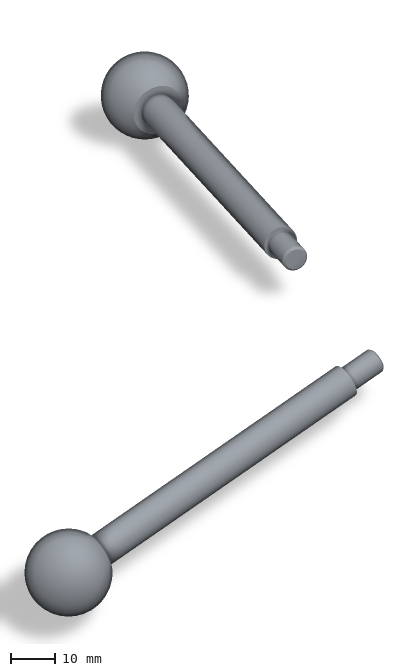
import cadquery as cq
import math

overall_length = 100.0
ball_diameter = 20.0
ball_length = 18.0
rod_diameter = 8.0
pin_diameter = 6.0
pin_length = 9.0
pin_chamfer = 0.5
shoulder_fillet = 0.3

ball_radius = ball_diameter / 2
rod_radius = rod_diameter / 2
pin_radius = pin_diameter / 2

ball_tip_x = -ball_radius
ball_flat_x = ball_tip_x + ball_length
ball_flat_radius = math.sqrt(ball_radius**2 - ball_flat_x**2)
pin_end_x = ball_tip_x + overall_length
shoulder_x = pin_end_x - pin_length


def make_handle():
    """Revolve the half profile of ball, rod and pin about the X axis."""
    profile = (
        cq.Workplane("XZ")
        .moveTo(ball_tip_x, 0)
        .threePointArc((0, ball_radius), (ball_flat_x, ball_flat_radius))
        .lineTo(ball_flat_x, rod_radius)
        .lineTo(shoulder_x, rod_radius)
        .lineTo(shoulder_x, pin_radius + shoulder_fillet)
        .radiusArc((shoulder_x + shoulder_fillet, pin_radius), -shoulder_fillet)
        .lineTo(pin_end_x - pin_chamfer, pin_radius)
        .lineTo(pin_end_x, pin_radius - pin_chamfer)
        .lineTo(pin_end_x, 0)
        .close()
    )
    return profile.revolve(360, (0, 0, 0), (1, 0, 0))


result = make_handle()